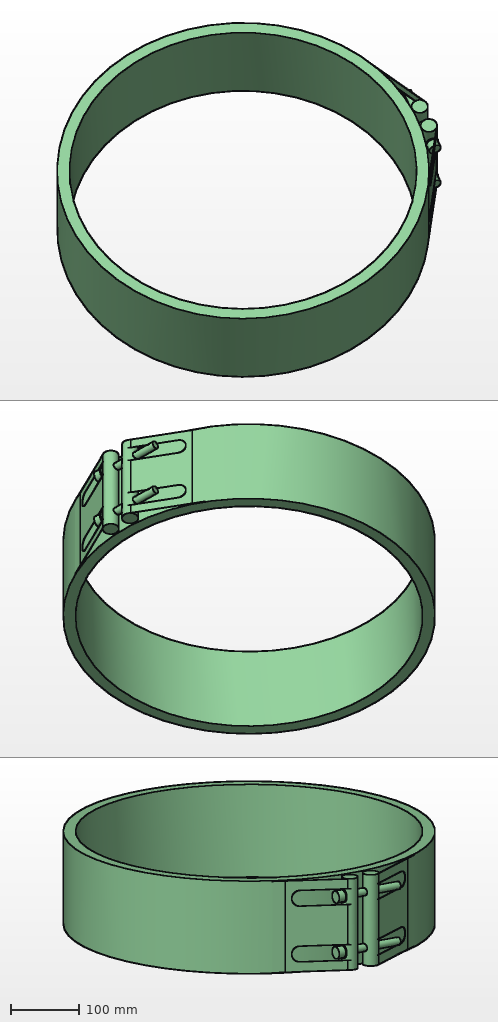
import cadquery as cq
import math

ring_diameter = 544.5
ring_bore = 508.0
ring_height = 141.0
ring_radius = ring_diameter / 2

overall_depth = 568
pin_diameter = 24.0
pin_height = 138.5
pin_offset = 19.0
pin_radius = pin_diameter / 2
pin_y = overall_depth - ring_radius - pin_radius

strap_thickness = 0.7
slot_width = 24.0
slot_length = 87.0
pin_distance = math.hypot(pin_offset, pin_y)
radius_difference = ring_radius - pin_radius
leaf_length = math.sqrt(pin_distance**2 - radius_difference**2)
pin_angle = math.degrees(math.atan2(pin_offset, pin_y))
leaf_angle = pin_angle + math.degrees(math.acos(radius_difference / pin_distance))

bolt_diameter = 12.0
bolt_tip_x = -68
bolt_spacing = 84.5
bolt_levels = (-bolt_spacing / 2, bolt_spacing / 2)
washer_diameter = 20.0
washer_thickness = 1.0
head_diameter = 18.0
head_length = 12.0
washer_x = pin_offset + pin_radius


def upright_cylinder(diameter, height):
    return cq.Workplane("XY").circle(diameter / 2).extrude(height / 2, both=True)


def rod_along_x(diameter, start_x, length, z):
    return cq.Workplane("YZ", origin=(start_x, pin_y, z)).circle(diameter / 2).extrude(length)


def make_ring():
    return upright_cylinder(ring_diameter, ring_height).cut(upright_cylinder(ring_bore, ring_height))


def make_slot(z):
    """Slot open at the pin end of a leaf, with a round end towards the ring."""
    slot_radius = slot_width / 2
    round_end_x = leaf_length - slot_length
    arc_start_x = round_end_x + slot_radius
    return (
        cq.Workplane("XZ", origin=(0, ring_radius - strap_thickness, z))
        .moveTo(leaf_length, -slot_radius)
        .lineTo(arc_start_x, -slot_radius)
        .threePointArc((round_end_x, 0), (arc_start_x, slot_radius))
        .lineTo(leaf_length, slot_radius)
        .close()
        .extrude(-strap_thickness)
    )


def make_left_leaf():
    """Leaf laid out along X from the ring's rear tangent point, then swung round to the pin."""
    leaf = cq.Workplane("XY").box(
        leaf_length, strap_thickness, pin_height, centered=(False, False, True)
    ).translate((0, ring_radius - strap_thickness, 0))
    for z in bolt_levels:
        leaf = leaf.cut(make_slot(z))
    return leaf.rotate((0, 0, 0), (0, 0, 1), leaf_angle)


def make_bolt(z):
    shank = rod_along_x(bolt_diameter, bolt_tip_x, washer_x - bolt_tip_x, z)
    washer = rod_along_x(washer_diameter, washer_x, washer_thickness, z)
    head = rod_along_x(head_diameter, washer_x + washer_thickness, head_length, z)
    return shank.union(washer).union(head)


result = make_ring()
left_leaf = make_left_leaf()
for leaf in (left_leaf, left_leaf.mirror("YZ")):
    result = result.union(leaf)
for pin_x in (-pin_offset, pin_offset):
    result = result.union(upright_cylinder(pin_diameter, pin_height).translate((pin_x, pin_y, 0)))
for z in bolt_levels:
    result = result.union(make_bolt(z))